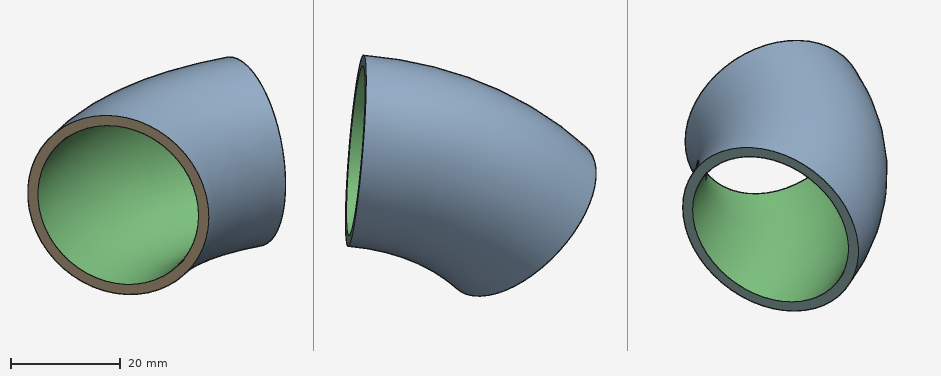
import cadquery as cq

outer_diameter = 35.0
wall_thickness = 2.0
bend_radius = 45.0
bend_angle = 45

inner_diameter = outer_diameter - 2 * wall_thickness

pipe_section = (
    cq.Workplane("XZ")
    .circle(outer_diameter / 2)
    .circle(inner_diameter / 2)
)

result = pipe_section.revolve(
    bend_angle,
    axisStart=(bend_radius, 0),
    axisEnd=(bend_radius, -1),
)